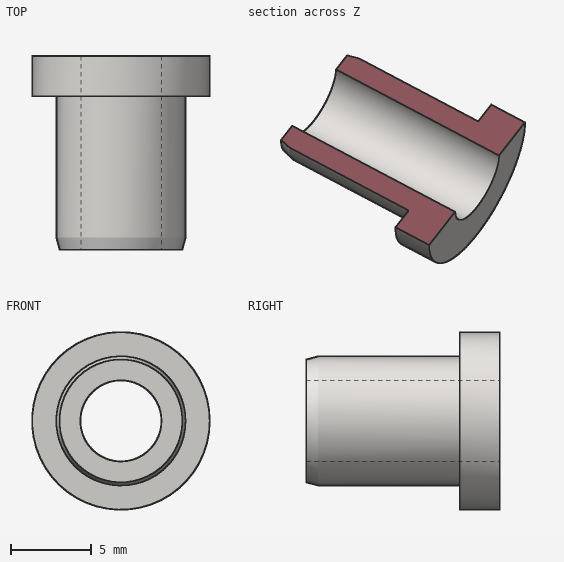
import cadquery as cq
import math

total_length = 12.0
flange_diameter = 11.0
flange_thickness = 2.5
body_diameter = 8.0
bore_diameter = 5.0
taper_length = 0.75
taper_angle = 15.0

flange_radius = flange_diameter / 2
body_radius = body_diameter / 2
bore_radius = bore_diameter / 2
tip_radius = body_radius - taper_length * math.tan(math.radians(taper_angle))
flange_face = total_length - flange_thickness

half_section = (
    cq.Workplane("XY")
    .moveTo(bore_radius, 0)
    .lineTo(tip_radius, 0)
    .lineTo(body_radius, taper_length)
    .lineTo(body_radius, flange_face)
    .lineTo(flange_radius, flange_face)
    .lineTo(flange_radius, total_length)
    .lineTo(bore_radius, total_length)
    .close()
)
result = half_section.revolve(360, (0, 0, 0), (0, 1, 0))